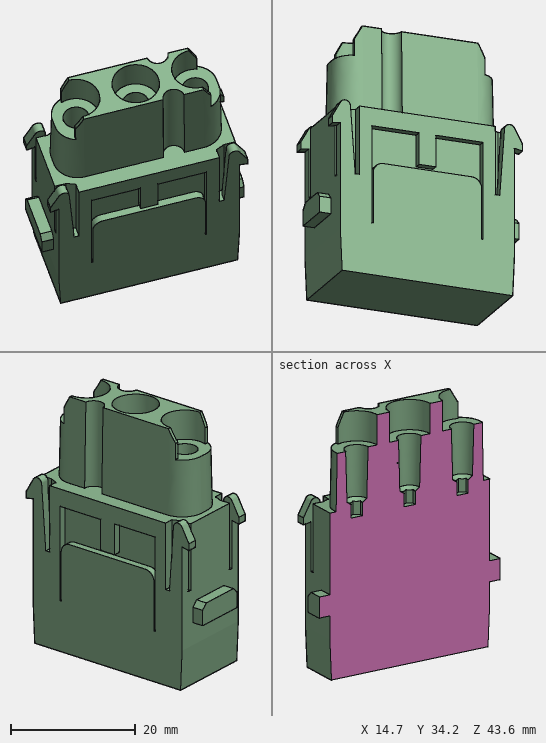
import cadquery as cq
import math

body_width = 14.65
body_length = 30.25
body_foot_length = 29.65
foot_height = 6.98
body_top = 28.55
half_width = body_width / 2
half_length = body_length / 2

total_height = 43.6
plug_width = 9.35
plug_length = 27.9
plug_corner_radius = 3.95
plug_draft = 1.2
end_step_z = 38.45
wall_end_y = 11.35
wall_bevel_y = 10.03
wall_bevel_z = 41.3

contact_pitch = 10.0
pocket_diameter = 7.6
bore_diameter = 4.2
bore_depth = 8.7
funnel_diameter = 3.65
funnel_tip_diameter = 1.9
hex_diameter = 2.35
funnel_depth = 0.6
hex_depth = 2.2

groove_radius = 1.75
groove_axis_x = 4.55
groove_length = 6.98

latch_width = 1.65
slot_bottom = 16.87
slot_inner_y = 11.77
slot_bevel_y = 13.2
slot_inner_x = 5.05
slot_outer_x = half_width - latch_width
latch_root_y = 12.55
latch_bevel_x = 0.35
latch_bevel_y = 0.87
crown_radius = 0.9
crown_y = 14.3
crown_z = 28.35
hook_tip_y = 16.52
hook_top_z = 26.25
hook_bottom_z = 25.03
hook_root_z = 25.3

rib_tip_y = 17.1
rib_bottom = 11.0
rib_height = 3.65
rib_bevel = 0.95
front_rib_width = 9.0
rear_rib_width = 6.9

window_depth = 1.25
window_width = 19.25
window_top = 25.5
window_bottom = 8.95
panel_width = 18.85
panel_top = 19.3
panel_corner_radius = 1.75
tab_width = 2.88
tab_bottom = 20.1


def make_body():
    """Block whose two ends draw in slightly towards the foot."""
    profile = [
        (-body_foot_length / 2, 0),
        (body_foot_length / 2, 0),
        (half_length, foot_height),
        (half_length, body_top),
        (-half_length, body_top),
        (-half_length, foot_height),
    ]
    return cq.Workplane("YZ").polyline(profile).close().extrude(half_width, both=True)


def make_plug():
    """Drafted plug with rounded corners and lowered, open ends."""
    outline = cq.Sketch().rect(plug_width, plug_length).vertices().fillet(plug_corner_radius)
    plug = (
        cq.Workplane("XY")
        .workplane(offset=body_top)
        .placeSketch(outline)
        .extrude(total_height - body_top, taper=plug_draft)
    )
    end_profile = [
        (wall_bevel_y, total_height),
        (wall_end_y, wall_bevel_z),
        (wall_end_y, end_step_z),
        (plug_length, end_step_z),
        (plug_length, total_height),
    ]
    end_cut = cq.Workplane("YZ").polyline(end_profile).close().extrude(plug_width, both=True)
    plug = plug.cut(end_cut).cut(end_cut.mirror("XZ"))

    groove_centre_x = groove_axis_x + groove_length / 2 - groove_radius
    for side in (-1, 1):
        groove = (
            cq.Workplane("XY")
            .workplane(offset=body_top)
            .center(side * groove_centre_x, contact_pitch / 2)
            .slot2D(groove_length, 2 * groove_radius)
            .extrude(total_height - body_top)
        )
        plug = plug.cut(groove)
    return plug


def make_chamber(y):
    """Stepped hole of one contact: pocket, tapered bore, funnel and hexagon socket."""
    funnel_z = end_step_z - bore_depth
    hex_z = funnel_z - funnel_depth - hex_depth
    pocket = cq.Workplane("XY").workplane(offset=end_step_z).circle(pocket_diameter / 2)
    bore = (
        cq.Workplane("XY")
        .workplane(offset=end_step_z)
        .circle(bore_diameter / 2)
        .workplane(offset=-bore_depth)
        .circle(funnel_diameter / 2)
        .loft()
    )
    funnel = (
        cq.Workplane("XY")
        .workplane(offset=funnel_z)
        .circle(funnel_diameter / 2)
        .workplane(offset=-funnel_depth)
        .circle(funnel_tip_diameter / 2)
        .loft()
    )
    socket = cq.Workplane("XY").workplane(offset=hex_z).polygon(6, hex_diameter)
    chamber = (
        pocket.extrude(total_height - end_step_z)
        .union(bore)
        .union(funnel)
        .union(socket.extrude(funnel_depth + hex_depth))
    )
    return chamber.translate((0, y, 0))


def make_latch_slot():
    """Corner clearance around the latch at +X, +Y."""
    plan = [
        (half_width, slot_inner_y),
        (slot_outer_x, slot_inner_y),
        (slot_inner_x, slot_bevel_y),
        (slot_inner_x, half_length),
        (half_width, half_length),
    ]
    slot = cq.Workplane("XY").workplane(offset=slot_bottom).polyline(plan).close()
    return slot.extrude(body_top - slot_bottom)


def make_latch():
    """Spring arm with a round crown and a hook, at +X, +Y."""
    tip_dy = hook_tip_y - crown_y
    tip_dz = hook_top_z - crown_z
    tip_distance = math.hypot(tip_dy, tip_dz)
    touch_angle = math.atan2(tip_dz, tip_dy) + math.acos(crown_radius / tip_distance)
    touch = (
        crown_y + crown_radius * math.cos(touch_angle),
        crown_z + crown_radius * math.sin(touch_angle),
    )
    latch = (
        cq.Workplane("YZ")
        .workplane(offset=slot_outer_x)
        .moveTo(half_length, slot_bottom)
        .lineTo(latch_root_y, slot_bottom)
        .lineTo(crown_y - crown_radius, crown_z)
        .threePointArc((crown_y, crown_z + crown_radius), touch)
        .lineTo(hook_tip_y, hook_top_z)
        .lineTo(hook_tip_y, hook_bottom_z)
        .lineTo(half_length, hook_root_z)
        .close()
        .extrude(latch_width)
    )
    corner = [
        (slot_outer_x, latch_root_y),
        (slot_outer_x + latch_bevel_x, latch_root_y),
        (slot_outer_x, latch_root_y + latch_bevel_y),
    ]
    bevel = cq.Workplane("XY").workplane(offset=slot_bottom).polyline(corner).close()
    return latch.cut(bevel.extrude(total_height))


def at_four_corners(corner):
    """Copies of a +X, +Y feature at all four corners."""
    pair = corner.union(corner.mirror("YZ"))
    return pair.union(pair.mirror("XZ"))


def make_rib(width, side):
    """Coding rib with bevelled upper corners on the end facing side * Y."""
    length = rib_tip_y - body_foot_length / 2
    rib = cq.Workplane("XY").box(width, length, rib_height, centered=(True, True, False))
    rib = rib.faces(">Z").edges("|Y").chamfer(rib_bevel)
    return rib.translate((0, side * (rib_tip_y - length / 2), rib_bottom))


def side_slab(width, bottom, top):
    """Centred slab of the window depth just inside the +X face."""
    slab = cq.Workplane("XY").box(window_depth, width, top - bottom, centered=(True, True, False))
    return slab.translate((half_width - window_depth / 2, 0, bottom))


def make_window():
    """Recess in the +X face around a flush panel and a hanging tab."""
    panel = side_slab(panel_width, window_bottom, panel_top)
    panel = panel.faces(">Z").edges("|X").fillet(panel_corner_radius)
    tab = side_slab(tab_width, tab_bottom, window_top)
    return side_slab(window_width, window_bottom, window_top).cut(panel).cut(tab)


window = make_window()
result = make_body().cut(window).cut(window.mirror("YZ"))
result = result.cut(at_four_corners(make_latch_slot())).union(make_plug())
result = result.union(at_four_corners(make_latch()))
result = result.union(make_rib(front_rib_width, -1)).union(make_rib(rear_rib_width, 1))
for position in (-1, 0, 1):
    result = result.cut(make_chamber(position * contact_pitch))